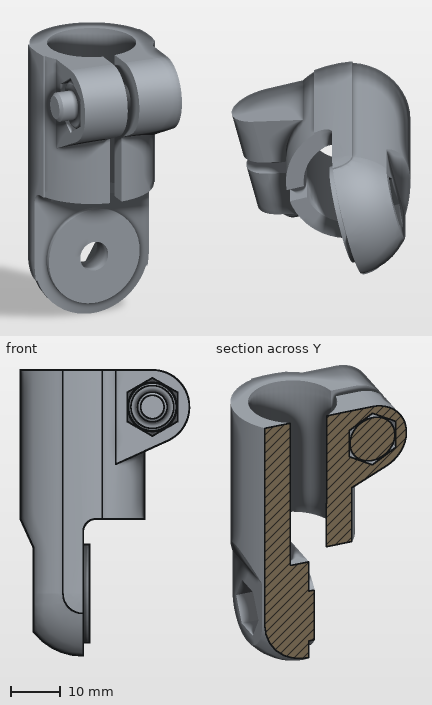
import cadquery as cq
import math


total_height = 57.45
tube_radius = 12.5
bore_diameter = 17.95
dome_z = tube_radius - total_height

pad_half_width = 3.95
pad_arc_radius = 2 * tube_radius

shoulder_z = -30.0
shoulder_fillet = 2.5
tongue_face_x = 0.1
tongue_thickness = 10.0
tongue_back_x = tongue_face_x - tongue_thickness
back_slope_bottom_z = -35.75
disc_diameter = 19.8
disc_thickness = 1.25
tongue_hole_diameter = 6.1
tongue_nut_flats = 10.0
tongue_nut_depth = 5.5

ear_radius = 7.45
ear_center_x = 13.995
ear_half_width = 10.6
ear_root_x = math.sqrt(tube_radius**2 - ear_half_width**2)
ear_root_z = -18.95
slot_width = 2.5

screw_diameter = 6.0
screw_end_y = -14.0
screw_chamfer = 0.65
ear_pocket_flats = 10.1
ear_pocket_depth = 5.0
nut_diameter = 9.9
nut_rim_diameter = 9.6
nut_face_diameter = 8.6
nut_recess = 0.4
nut_rim_setback = 0.25
nut_face_chamfer = 0.3


def hexagon(workplane, across_flats):
    """Hexagon with two corners on the local X axis."""
    return workplane.polygon(6, across_flats / math.cos(math.pi / 6))


def y_plane(y):
    """Plane on the screw axis, facing +Y, with local X along world Z."""
    return cq.Workplane(cq.Plane((ear_center_x, y, -ear_radius), (0, 0, 1), (0, 1, 0)))


def make_tube():
    cylinder = cq.Workplane("XY").circle(tube_radius).extrude(dome_z)
    dome = cq.Workplane("XY").sphere(tube_radius).translate((0, 0, dome_z))
    return cylinder.union(dome)


def pad_height(x):
    """Y of the +Y pad surface at a given X."""
    return tube_radius - pad_arc_radius + math.sqrt(pad_arc_radius**2 - x**2)


def make_pads():
    """Pads of a flatter arc than the tube, each with a round lower end."""
    pad_edge_y = pad_height(pad_half_width)
    arc_half_x = pad_half_width / 2
    arc_half_y = pad_height(arc_half_x)
    straight = (
        cq.Workplane("XY")
        .moveTo(-pad_half_width, -pad_edge_y)
        .threePointArc((0, -tube_radius), (pad_half_width, -pad_edge_y))
        .lineTo(pad_half_width, pad_edge_y)
        .threePointArc((0, tube_radius), (-pad_half_width, pad_edge_y))
        .close()
        .extrude(dome_z)
    )
    round_end = (
        cq.Workplane("XY")
        .moveTo(0, -tube_radius)
        .threePointArc((arc_half_x, -arc_half_y), (pad_half_width, -pad_edge_y))
        .lineTo(pad_half_width, pad_edge_y)
        .threePointArc((arc_half_x, arc_half_y), (0, tube_radius))
        .close()
        .revolve(360, (0, 0, 0), (0, 1, 0))
        .translate((0, 0, dome_z))
    )
    return straight.union(round_end)


def make_ears():
    """Block with a round outer end and a lower edge tangent to that end."""
    run = ear_center_x - ear_root_x
    rise = -ear_radius - ear_root_z
    slope = math.atan2(rise, run) - math.asin(ear_radius / math.hypot(run, rise))
    tangent_x = ear_center_x + ear_radius * math.sin(slope)
    tangent_z = -ear_radius - ear_radius * math.cos(slope)
    return (
        cq.Workplane("XZ")
        .moveTo(ear_root_x, 0)
        .lineTo(ear_center_x, 0)
        .threePointArc((ear_center_x + ear_radius, -ear_radius), (tangent_x, tangent_z))
        .lineTo(ear_root_x, ear_root_z)
        .close()
        .extrude(ear_half_width, both=True)
    )


def cut_tongue(body):
    """Remove the +X side below the shoulder and flatten the -X side."""
    reach = 2 * tube_radius
    front_cut = (
        cq.Workplane("XZ")
        .moveTo(reach, shoulder_z)
        .lineTo(tongue_face_x + shoulder_fillet, shoulder_z)
        .radiusArc((tongue_face_x, shoulder_z - shoulder_fillet), -shoulder_fillet)
        .lineTo(tongue_face_x, -total_height)
        .lineTo(reach, -total_height)
        .close()
        .extrude(reach, both=True)
    )
    back_cut = (
        cq.Workplane("XZ")
        .moveTo(-tube_radius, shoulder_z)
        .lineTo(tongue_back_x, back_slope_bottom_z)
        .lineTo(tongue_back_x, -total_height)
        .lineTo(-tube_radius, -total_height)
        .close()
        .extrude(reach, both=True)
    )
    return body.cut(front_cut).cut(back_cut)


def cut_bore_and_slot(body):
    bore_depth = shoulder_fillet - shoulder_z
    bore = cq.Workplane("XY").circle(bore_diameter / 2).extrude(-bore_depth)
    slot_length = ear_center_x + ear_radius
    slot = cq.Workplane("XY").box(slot_length, slot_width, bore_depth, centered=(False, True, False))
    return body.cut(bore).cut(slot.translate((0, 0, -bore_depth)))


def add_tongue_joint(body):
    """Round joint face on +X, with a bolt hole and a nut pocket on -X."""
    face = cq.Workplane("YZ", origin=(tongue_face_x, 0, dome_z))
    disc = face.circle(disc_diameter / 2).extrude(disc_thickness)
    back = cq.Workplane("YZ", origin=(tongue_back_x, 0, dome_z))
    hole = back.circle(tongue_hole_diameter / 2).extrude(tongue_thickness + disc_thickness)
    pocket = hexagon(back, tongue_nut_flats).extrude(tongue_nut_depth)
    return body.union(disc).cut(hole).cut(pocket)


def add_clamp_screw(body):
    pocket = hexagon(y_plane(-ear_half_width), ear_pocket_flats).extrude(ear_pocket_depth)
    screw = (
        y_plane(screw_end_y)
        .circle(screw_diameter / 2)
        .extrude(ear_half_width - screw_end_y)
        .faces("<Y")
        .chamfer(screw_chamfer)
    )
    nut_height = ear_pocket_depth - nut_recess
    nut = (
        cq.Workplane("XY")
        .lineTo(nut_diameter / 2, 0)
        .lineTo(nut_diameter / 2, nut_height - nut_face_chamfer - nut_rim_setback)
        .lineTo(nut_rim_diameter / 2, nut_height - nut_face_chamfer)
        .lineTo(nut_face_diameter / 2, nut_height)
        .lineTo(0, nut_height)
        .close()
        .revolve(360, (0, 0, 0), (0, 1, 0))
        .rotate((0, 0, 0), (0, 0, 1), 180)
        .translate((ear_center_x, ear_pocket_depth - ear_half_width, -ear_radius))
    )
    return body.cut(pocket).union(nut).union(screw)


body = make_tube().union(make_pads())
body = cut_tongue(body)
body = body.union(make_ears())
body = cut_bore_and_slot(body)
body = add_tongue_joint(body)
result = add_clamp_screw(body)